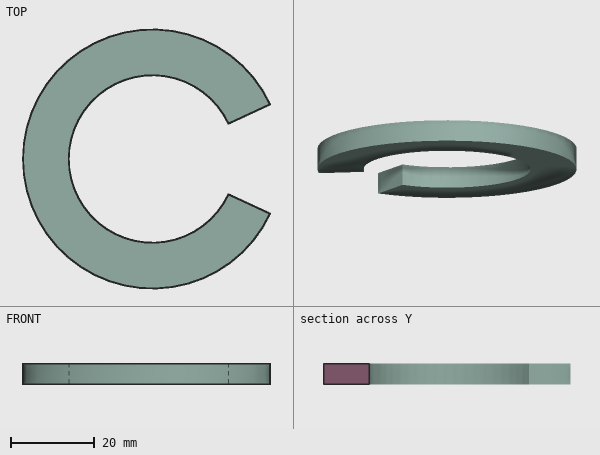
import cadquery as cq
import math

OUTER_RADIUS = 31.0
INNER_RADIUS = 20.0
THICKNESS = 5.0
GAP_ANGLE = 49.8

half_gap = math.radians(GAP_ANGLE / 2)


def point_on_circle(radius, angle):
    """Point at the given radius and angle (radians) about the ring axis."""
    return (radius * math.cos(angle), radius * math.sin(angle))


def open_ring():
    """Flat C-shaped ring with radial end faces."""
    return (
        cq.Workplane("XY")
        .moveTo(*point_on_circle(OUTER_RADIUS, half_gap))
        .threePointArc((-OUTER_RADIUS, 0), point_on_circle(OUTER_RADIUS, -half_gap))
        .lineTo(*point_on_circle(INNER_RADIUS, -half_gap))
        .threePointArc((-INNER_RADIUS, 0), point_on_circle(INNER_RADIUS, half_gap))
        .close()
        .extrude(THICKNESS)
    )


result = open_ring()